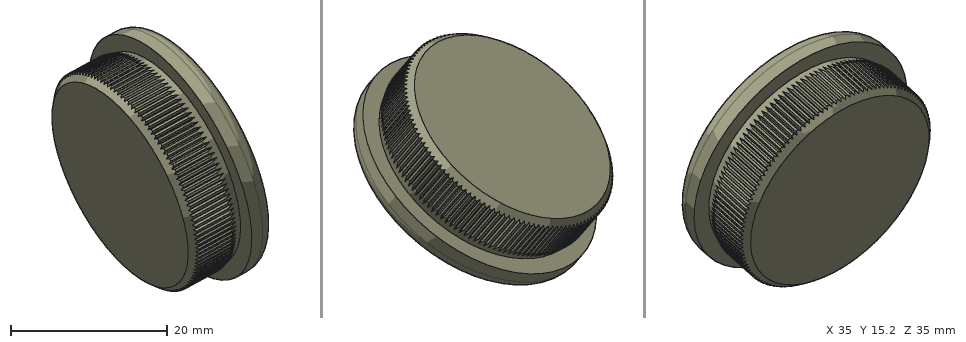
import cadquery as cq
import math

cap_diameter = 35.0
plug_length = 8.0
total_length = 15.2

rim_height = 1.75
dome_base_height = 3.5
dome_base_radius = 16.3

plug_radius = 15.65
neck_radius = 15.1
neck_length = 1.85
end_chamfer = 0.98

groove_count = 130
groove_depth = 0.28
groove_width = 0.42

cap_radius = cap_diameter / 2
cap_height = total_length - plug_length


def dome_radius():
    """Radius of the sphere through the apex and the dome's base circle."""
    rise = cap_height - dome_base_height
    return (dome_base_radius**2 + rise**2) / (2 * rise)


def make_cap():
    """Cap with a straight rim, a rounded shoulder and a shallow dome; its underside lies at Y = 0."""
    sphere_radius = dome_radius()
    half_angle = math.asin(dome_base_radius / sphere_radius) / 2
    dome_mid = (
        cap_height - sphere_radius * (1 - math.cos(half_angle)),
        sphere_radius * math.sin(half_angle),
    )
    profile = (
        cq.Workplane("YZ")
        .lineTo(0, cap_radius)
        .lineTo(rim_height, cap_radius)
        .tangentArcPoint((dome_base_height, dome_base_radius), relative=False)
        .threePointArc(dome_mid, (cap_height, 0))
        .close()
    )
    return profile.revolve(360, (0, 0), (1, 0))


def make_plug():
    """Plug below the cap: tapered neck, cylinder and chamfered free end."""
    profile = (
        cq.Workplane("YZ")
        .lineTo(0, neck_radius)
        .lineTo(-neck_length, plug_radius)
        .lineTo(end_chamfer - plug_length, plug_radius)
        .lineTo(-plug_length, plug_radius - end_chamfer)
        .lineTo(-plug_length, 0)
        .close()
    )
    return profile.revolve(360, (0, 0), (1, 0))


def make_knurl_envelope():
    """Toothed prism whose outline has the V grooves; trimming the plug with it cuts the knurl."""
    pitch = 2 * math.pi / groove_count
    half_opening = groove_width / (2 * plug_radius)
    root_radius = plug_radius - groove_depth

    def point_at(radius, angle):
        return (radius * math.cos(angle), radius * math.sin(angle))

    first_angle = math.pi / 2
    outline = cq.Workplane("XZ").moveTo(*point_at(plug_radius, first_angle - half_opening))
    for index in range(groove_count):
        angle = first_angle + index * pitch
        outline = (
            outline.lineTo(*point_at(root_radius, angle))
            .lineTo(*point_at(plug_radius, angle + half_opening))
            .threePointArc(
                point_at(plug_radius, angle + pitch / 2),
                point_at(plug_radius, angle + pitch - half_opening),
            )
        )
    return outline.close().extrude(plug_length)


result = make_cap().union(make_plug().intersect(make_knurl_envelope()))